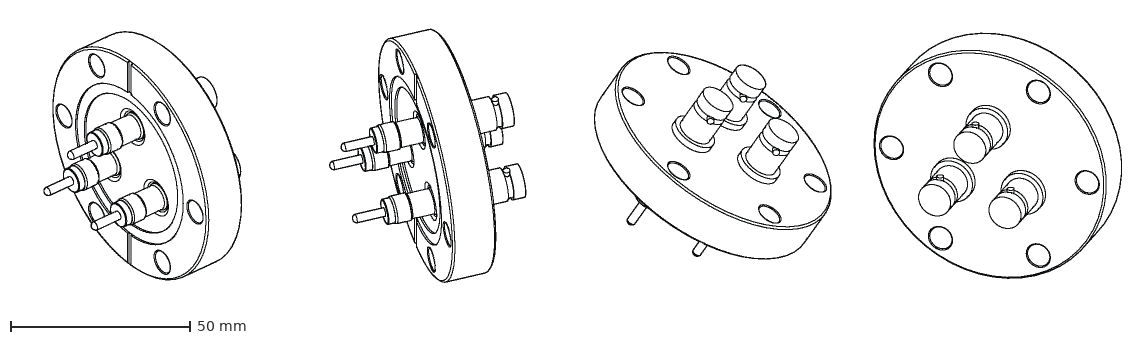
import cadquery as cq
import math

flange_radius = 34.9
flange_thickness = 12.7
flange_chamfer = 0.55

gasket_radius = 24.2
gasket_depth = 0.55
inner_step_radius = 20.95
inner_step_depth = 0.55
leak_groove_width = 1.55
leak_groove_depth = 0.5

bolt_count = 6
bolt_circle_radius = 29.4
bolt_hole_radius = 3.35
bolt_hole_chamfer = 0.3

connector_count = 3
connector_circle_radius = 12.2
top_connector_angle = 90.0

cup_rim_radius = 5.5
cup_waist_radius = 4.55
cup_waist_depth = 0.55
cup_floor_depth = 1.4
shoulder_radius = 4.0
shoulder_depth = 0.8
shoulder_taper_length = 0.7

stem_radius = 3.6
neck_radius = 3.55
neck_length = 0.4
stem_length = 5.65
collar_radius = 4.0
collar_length = 4.05
collar_taper_radius = 3.8
collar_taper_length = 0.6
cap_length = 2.1
cap_chamfer = 0.2
pin_radius = 1.25
front_reach = 21.7
pin_tip_length = 1.0

base_radius = 6.3
base_length = 1.95
socket_radius = 4.8
rear_reach = 27.45
bayonet_setback = 4.2
bayonet_pin_radius = 1.0
bayonet_pin_reach = 5.5
ring_groove_start = 3.4
ring_groove_width = 1.7
ring_groove_step = 0.55
ring_groove_depth = 0.8

floor_y = gasket_depth + inner_step_depth


def cylinder(radius, y_start, y_end, x=0.0, z=0.0):
    """Cylinder along Y, centred on (x, z)."""
    return cq.Workplane("XZ", origin=(x, y_start, z)).circle(radius).extrude(y_start - y_end)


def polar_points(count, radius, start_angle):
    """Evenly spaced (x, z) points on a circle."""
    angles = [math.radians(start_angle + 360.0 * i / count) for i in range(count)]
    return [(radius * math.cos(a), radius * math.sin(a)) for a in angles]


def bolt_hole(x, z):
    """Through hole with a chamfer on both faces."""
    mouth_radius = bolt_hole_radius + bolt_hole_chamfer
    profile = [
        (0, 0),
        (mouth_radius, 0),
        (bolt_hole_radius, bolt_hole_chamfer),
        (bolt_hole_radius, flange_thickness - bolt_hole_chamfer),
        (mouth_radius, flange_thickness),
        (0, flange_thickness),
    ]
    return cq.Workplane("XY").polyline(profile).close().revolve(360, (0, 0), (0, 1)).translate((x, 0, z))


def make_flange():
    flange = cylinder(flange_radius, 0, flange_thickness).edges().chamfer(flange_chamfer)
    leak_grooves = cq.Workplane("XY").box(
        leak_groove_width, leak_groove_depth, 2 * flange_radius, centered=(True, False, True)
    )
    flange = flange.cut(leak_grooves)
    flange = flange.cut(cylinder(gasket_radius, 0, gasket_depth))
    flange = flange.cut(cylinder(inner_step_radius, 0, floor_y))
    for x, z in polar_points(bolt_count, bolt_circle_radius, 0):
        flange = flange.cut(bolt_hole(x, z))
    return flange


def connector_cup():
    """Recess in the inner face of the flange: a wide cone, then a steeper one down to the shoulder."""
    profile = [
        (0, floor_y),
        (cup_rim_radius, floor_y),
        (cup_waist_radius, floor_y + cup_waist_depth),
        (shoulder_radius, floor_y + cup_floor_depth),
        (0, floor_y + cup_floor_depth),
    ]
    return cq.Workplane("XY").polyline(profile).close().revolve(360, (0, 0), (0, 1))


def connector_body():
    """Pin, cap, collar, stem, base and socket turned as one solid about the Y axis."""
    tip_y = -front_reach
    tip_sphere_radius = (pin_radius**2 + pin_tip_length**2) / (2 * pin_tip_length)
    tip_half_angle = math.asin(pin_radius / tip_sphere_radius) / 2
    tip_arc_middle = (
        tip_sphere_radius * math.sin(tip_half_angle),
        tip_y + tip_sphere_radius * (1 - math.cos(tip_half_angle)),
    )
    shoulder_y = floor_y + shoulder_depth
    collar_start = -stem_length
    collar_end = collar_start - collar_length
    taper_end = collar_end - collar_taper_length
    cap_end = taper_end - cap_length
    groove_rear = rear_reach - ring_groove_start
    groove_front = groove_rear - ring_groove_width
    groove_middle = (groove_rear + groove_front) / 2
    base_end = flange_thickness + base_length

    return (
        cq.Workplane("XY")
        .moveTo(0, tip_y)
        .threePointArc(tip_arc_middle, (pin_radius, tip_y + pin_tip_length))
        .lineTo(pin_radius, cap_end)
        .lineTo(stem_radius - cap_chamfer, cap_end)
        .lineTo(stem_radius, cap_end + cap_chamfer)
        .lineTo(stem_radius, taper_end)
        .lineTo(collar_taper_radius, taper_end)
        .lineTo(collar_radius, collar_end)
        .lineTo(collar_radius, collar_start)
        .lineTo(neck_radius, collar_start)
        .lineTo(neck_radius, collar_start + neck_length)
        .lineTo(stem_radius, collar_start + neck_length)
        .lineTo(stem_radius, shoulder_y - shoulder_taper_length)
        .lineTo(shoulder_radius, shoulder_y)
        .lineTo(shoulder_radius, flange_thickness)
        .lineTo(base_radius, flange_thickness)
        .lineTo(base_radius, base_end)
        .lineTo(socket_radius, base_end)
        .lineTo(socket_radius, groove_front)
        .threePointArc(
            (socket_radius - ring_groove_depth, groove_middle),
            (socket_radius - ring_groove_step, groove_rear),
        )
        .lineTo(socket_radius, groove_rear)
        .lineTo(socket_radius, rear_reach)
        .lineTo(0, rear_reach)
        .close()
        .revolve(360, (0, 0), (0, 1))
    )


def bayonet_pins():
    """Two opposite pins along Z, made as one rod through the socket."""
    return (
        cq.Workplane("XY", origin=(0, rear_reach - bayonet_setback, 0))
        .circle(bayonet_pin_radius)
        .extrude(bayonet_pin_reach, both=True)
    )


result = make_flange()
cup = connector_cup()
connector = connector_body().union(bayonet_pins())
for x, z in polar_points(connector_count, connector_circle_radius, top_connector_angle):
    result = result.cut(cup.translate((x, 0, z))).union(connector.translate((x, 0, z)))